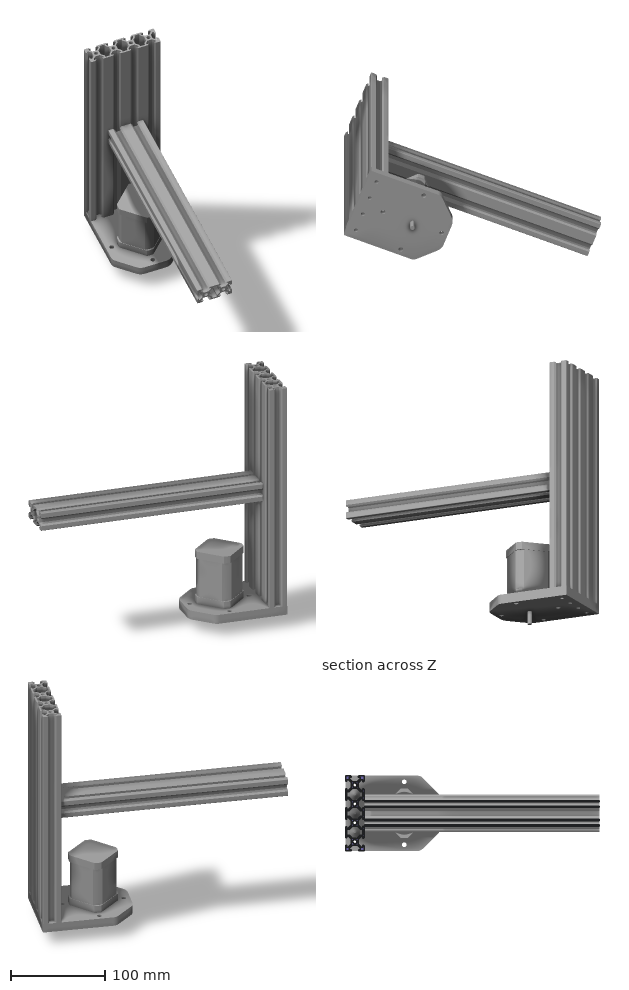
import cadquery as cq

module = 20.0
extrusion_length = 250.0
upright_cells = 4
beam_cells = 2

corner_radius = 0.5
lip_thickness = 1.73
slot_neck = 5.8
slot_floor_width = 5.2
slot_pocket = 11.0
pocket_wall = 1.5
core_bore = 4.0
hollow_side_width = 5.5

plate_thickness = 10.1
plate_length = 102.8
plate_width = upright_cells * module
plate_taper_start = 79.7
taper_start_radius = 8.0
taper_end_radius = 12.0
plate_hole = 5.0
plate_hole_offset = 33.5

cone_base = 11.5
cone_tip = 2.2
cone_height = (cone_base - cone_tip) / 2

motor_x = 62.5
motor_turn = 45
flange_side = 42.2
flange_diameter = 53.0
flange_height = 8.2
motor_body_side = 41.5
motor_body_diameter = 49.3
motor_height = 60.0
shaft_diameter = 5.0
shaft_flat = 2.0
shaft_reach = 14.0

half_module = module / 2
slot_mouth = slot_neck + 2 * lip_thickness
lip_inside = half_module - lip_thickness
pocket_bend = lip_inside - pocket_wall
slot_floor = pocket_bend - (slot_pocket - slot_floor_width) / 2
roof_peak = half_module - slot_floor


def cell_centres(cells):
    return [(i - (cells - 1) / 2) * module for i in range(cells)]


def hollow_centres(cells):
    return [(i - (cells - 2) / 2) * module for i in range(cells - 1)]


def slot_cutter(x, y, angle):
    """V-mouthed T-slot of a cell centred at (x, y); at angle 0 it opens towards +X."""
    half_outline = [
        (slot_floor, slot_floor_width / 2),
        (pocket_bend, slot_pocket / 2),
        (lip_inside, slot_pocket / 2),
        (lip_inside, slot_neck / 2),
        (half_module, slot_mouth / 2),
    ]
    mirrored = [(px, -py) for px, py in reversed(half_outline)]
    cutter = cq.Workplane("XY").polyline(half_outline + mirrored).close()
    cutter = cutter.extrude(extrusion_length)
    return cutter.rotate((0, 0, 0), (0, 0, 1), angle).translate((x, y, 0))


def hollow_cutter(y):
    """Hollow between two cells: two 45 degree roofs joined by arms that reach the outer walls."""
    roof_half = slot_neck / 2
    arm_half = hollow_side_width / 2
    arm_start = roof_half + roof_peak - arm_half
    quarter = [(roof_half, roof_peak), (arm_start, arm_half), (lip_inside, arm_half)]
    right = quarter + [(px, -py) for px, py in reversed(quarter)]
    left = [(-px, -py) for px, py in right]
    hollow = cq.Workplane("XY").polyline(right + left).close().extrude(extrusion_length)
    return hollow.translate((0, y, 0))


def make_extrusion(cells):
    """Slotted extrusion standing on Z = 0, one cell wide in X and several cells wide in Y."""
    width = cells * module
    bar = cq.Workplane("XY").rect(module, width).extrude(extrusion_length).edges("|Z").fillet(corner_radius)
    centres = cell_centres(cells)
    for y in centres:
        bar = bar.cut(slot_cutter(0, y, 0)).cut(slot_cutter(0, y, 180))
    bar = bar.cut(slot_cutter(0, centres[-1], 90)).cut(slot_cutter(0, centres[0], -90))
    for y in hollow_centres(cells):
        bar = bar.cut(hollow_cutter(y))
    bores = cq.Workplane("XY").pushPoints([(0, y) for y in centres]).circle(core_bore / 2)
    return bar.cut(bores.extrude(extrusion_length))


def make_plate():
    half_width = plate_width / 2
    end_half = half_width - (plate_length - plate_taper_start)
    outline = [
        (0, -half_width),
        (plate_taper_start, -half_width),
        (plate_length, -end_half),
        (plate_length, end_half),
        (plate_taper_start, half_width),
        (0, half_width),
    ]
    plate = cq.Workplane("XY").polyline(outline).close().extrude(-plate_thickness)
    tapers = [(plate_taper_start, half_width, taper_start_radius), (plate_length, end_half, taper_end_radius)]
    for x, y, radius in tapers:
        for side in (-1, 1):
            edge = cq.selectors.NearestToPointSelector((x, side * y, -plate_thickness / 2))
            plate = plate.edges(edge).fillet(radius)
    screws = [(motor_x, side * plate_hole_offset) for side in (-1, 1)]
    screws += [(motor_x + side * plate_hole_offset, 0) for side in (-1, 1)]
    plate = plate.cut(cq.Workplane("XY").pushPoints(screws).circle(plate_hole / 2).extrude(-plate_thickness))
    bores = [(half_module, y) for y in cell_centres(upright_cells)]
    plate = plate.cut(cq.Workplane("XY").pushPoints(bores).circle(core_bore / 2).extrude(-plate_thickness))
    plate = plate.cut(make_shaft())
    for y in hollow_centres(upright_cells):
        cone = cq.Solid.makeCone(cone_base / 2, cone_tip / 2, cone_height, cq.Vector(half_module, y, 0))
        plate = plate.union(cq.Workplane(cone))
    return plate


def motor_block(side, diameter, height):
    block = cq.Workplane("XY").rect(side, side).extrude(height)
    round_bar = cq.Workplane("XY").circle(diameter / 2).extrude(height)
    return block.intersect(round_bar).rotate((0, 0, 0), (0, 0, 1), motor_turn).translate((motor_x, 0, 0))


def make_shaft():
    length = plate_thickness + shaft_reach
    shaft = cq.Workplane("XY").circle(shaft_diameter / 2).extrude(-length)
    keep = cq.Workplane("XY").rect(shaft_diameter, shaft_diameter).extrude(-length)
    keep = keep.translate((shaft_diameter / 2 - shaft_flat, 0, 0))
    shaft = shaft.intersect(keep)
    return shaft.rotate((0, 0, 0), (0, 0, 1), motor_turn).translate((motor_x, 0, 0))


def make_motor():
    flange = motor_block(flange_side, flange_diameter, flange_height)
    motor = motor_block(motor_body_side, motor_body_diameter, motor_height).union(flange)
    motor = motor.union(flange.translate((0, 0, motor_height - flange_height)))
    return motor.union(make_shaft())


upright = make_extrusion(upright_cells).translate((half_module, 0, 0))
beam = make_extrusion(beam_cells).rotate((0, 0, 0), (0, 1, 0), 90)
beam = beam.translate((module, 0, extrusion_length / 2))
plate = make_plate()
motor = make_motor()
result = cq.Compound.makeCompound([upright.val(), beam.val(), plate.val(), motor.val()])